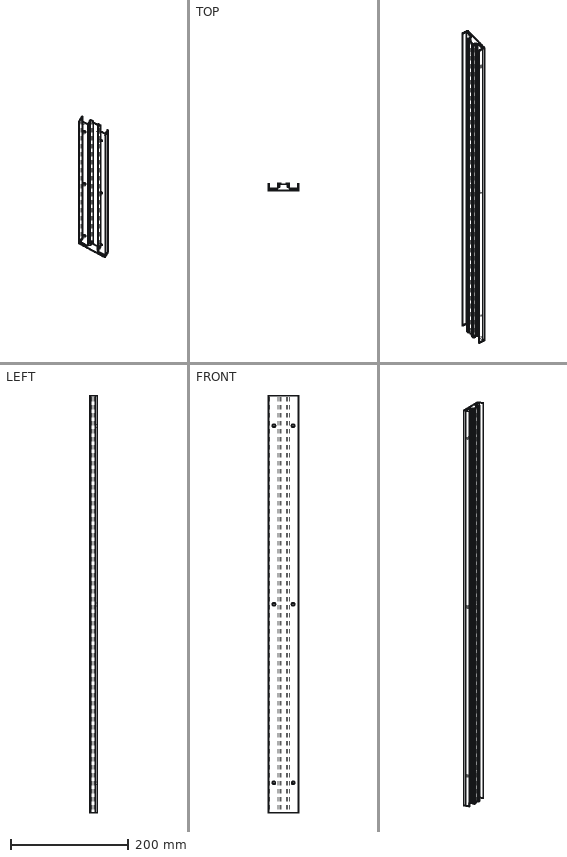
import cadquery as cq

length = 711.0
width = 51.0
depth = 13.0

base_thickness = 3.5
flange_thickness = 1.5
flange_depth = 11.5

rail_width = 20.0
lip_width = 5.0
lip_height = 1.8

groove_diameter = 4.0
groove_spacing = 17.0
groove_y = 8.0

hole_diameter = 4.6
hole_spacing_x = 33.0
hole_pitch_z = 304.5


def block(x_min, x_max, y_min, y_max):
    """Full-length rectangular bar with the given cross-section limits."""
    return cq.Workplane("XY").box(
        x_max - x_min, y_max - y_min, length, centered=False
    ).translate((x_min, y_min, -length / 2))


def make_channel():
    half_width = width / 2
    outer = block(-half_width, half_width, 0, flange_depth)
    inner_half_width = half_width - flange_thickness
    cavity = block(-inner_half_width, inner_half_width, base_thickness, depth)
    return outer.cut(cavity)


def make_rail():
    half_width = rail_width / 2
    rail = block(-half_width, half_width, 0, depth)
    recess_half_width = half_width - lip_width
    rail = rail.cut(
        block(-recess_half_width, recess_half_width, depth - lip_height, depth)
    )
    for side in (-1, 1):
        groove = (
            cq.Workplane("XY")
            .workplane(offset=-length / 2)
            .center(side * groove_spacing / 2, groove_y)
            .circle(groove_diameter / 2)
            .extrude(length)
        )
        rail = rail.cut(groove)
    return rail


def make_holes():
    positions = [
        (side * hole_spacing_x / 2, row * hole_pitch_z)
        for side in (-1, 1)
        for row in (-1, 0, 1)
    ]
    return (
        cq.Workplane("XZ")
        .pushPoints(positions)
        .circle(hole_diameter / 2)
        .extrude(-base_thickness)
    )


result = make_channel().union(make_rail()).cut(make_holes())